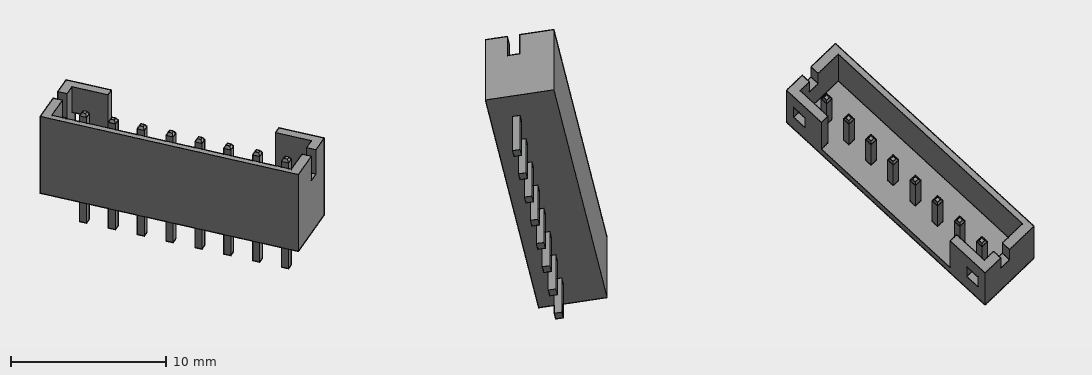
import cadquery as cq


pin_count = 8
pin_pitch = 2.0
pin_size = 0.5
pin_length_below = 3.4
pin_tip_below_rim = 0.95
tip_height = 0.2
tip_inset = 0.12

end_margin = 1.95
housing_length = (pin_count - 1) * pin_pitch + 2 * end_margin
housing_width = 4.5
housing_height = 6.0
back_y = 1.7
front_y = back_y - housing_width

end_wall = 0.65
back_wall = 0.6
front_wall = 0.4
floor_thickness = 1.0
cavity_length = housing_length - 2 * end_wall
cavity_width = housing_width - back_wall - front_wall

back_opening_length = 11.6
slot_width = 0.8
slot_depth = 1.9
slot_back_y = pin_size / 2
window_width = 1.0
window_bottom = 2.2
window_top = 4.0


def block(x_min, y_min, z_min, length, width, height):
    """Axis-aligned box placed by its lowest corner."""
    return cq.Workplane("XY").box(length, width, height, centered=False).translate((x_min, y_min, z_min))


def make_housing():
    """Open-topped housing with a back opening, end slots and corner windows."""
    wall_height = housing_height - floor_thickness
    housing = block(-housing_length / 2, front_y, 0, housing_length, housing_width, housing_height)
    cavity = block(
        -cavity_length / 2,
        front_y + front_wall,
        floor_thickness,
        cavity_length,
        cavity_width,
        wall_height,
    )
    back_opening = block(
        -back_opening_length / 2,
        back_y - back_wall,
        floor_thickness,
        back_opening_length,
        back_wall,
        wall_height,
    )
    end_slots = block(
        -housing_length / 2,
        slot_back_y - slot_width,
        housing_height - slot_depth,
        housing_length,
        slot_width,
        slot_depth,
    )
    housing = housing.cut(cavity).cut(back_opening).cut(end_slots)

    window_height = window_top - window_bottom
    for window_x in (-cavity_length / 2, cavity_length / 2 - window_width):
        window = block(window_x, back_y - back_wall, window_bottom, window_width, back_wall, window_height)
        housing = housing.cut(window)
    return housing


def make_pin(pin_x):
    """Square pin with a tapered upper tip."""
    tip_base_z = housing_height - pin_tip_below_rim - tip_height
    tip_size = pin_size - 2 * tip_inset
    shank_length = pin_length_below + tip_base_z
    shank = block(
        pin_x - pin_size / 2, -pin_size / 2, -pin_length_below, pin_size, pin_size, shank_length
    )
    tip = (
        cq.Workplane("XY", origin=(pin_x, 0, tip_base_z))
        .rect(pin_size, pin_size)
        .workplane(offset=tip_height)
        .rect(tip_size, tip_size)
        .loft(ruled=True)
    )
    return shank.union(tip)


result = make_housing()
first_pin_x = -(pin_count - 1) * pin_pitch / 2
for pin_index in range(pin_count):
    result = result.union(make_pin(first_pin_x + pin_index * pin_pitch))